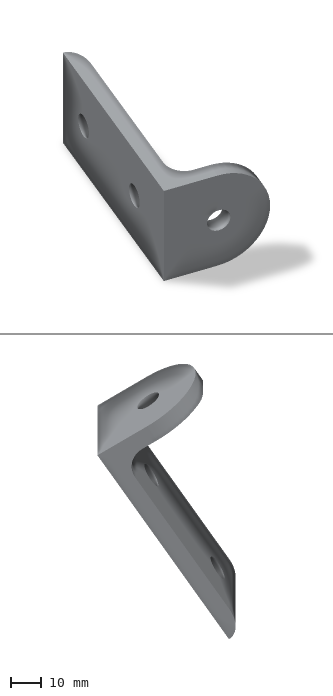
import cadquery as cq

length = 79.5
depth = 38.3
height = 37.9
thickness = 6.05

inner_radius = 7.5
tip_length = 9.0
flange_edge_radius = 2.1
end_radius = height / 2

hole_diameter = 8.4
plate_hole_start = 16.3
plate_hole_spacing = 40.0
flange_hole_offset = 19.8

flange_face = length - thickness


def bracket_profile():
    """L section extruded upward, with a quarter-ellipse tip on the long plate."""
    return (
        cq.Workplane("XY")
        .moveTo(0, 0)
        .lineTo(length, 0)
        .lineTo(length, depth)
        .lineTo(flange_face + flange_edge_radius, depth)
        .radiusArc((flange_face, depth - flange_edge_radius), -flange_edge_radius)
        .lineTo(flange_face, thickness + inner_radius)
        .radiusArc((flange_face - inner_radius, thickness), inner_radius)
        .lineTo(tip_length, thickness)
        .ellipseArc(tip_length, thickness, 90, 180, startAtCurrent=True)
        .close()
        .extrude(height)
    )


def side_outline():
    """Block along X whose far end is a full half-round across the height."""
    round_start = depth - end_radius
    return (
        cq.Workplane("YZ")
        .moveTo(0, 0)
        .lineTo(round_start, 0)
        .threePointArc((depth, height / 2), (round_start, height))
        .lineTo(0, height)
        .close()
        .extrude(length)
    )


def plate_hole(x):
    """Hole along Y through the long plate at mid height."""
    return (
        cq.Workplane("XZ")
        .center(x, height / 2)
        .circle(hole_diameter / 2)
        .extrude(-thickness)
    )


def flange_hole():
    """Hole along X through the short flange at mid height."""
    return (
        cq.Workplane("YZ", origin=(flange_face, 0, 0))
        .center(flange_hole_offset, height / 2)
        .circle(hole_diameter / 2)
        .extrude(thickness)
    )


result = bracket_profile().intersect(side_outline())
for x in (plate_hole_start, plate_hole_start + plate_hole_spacing):
    result = result.cut(plate_hole(x))
result = result.cut(flange_hole())